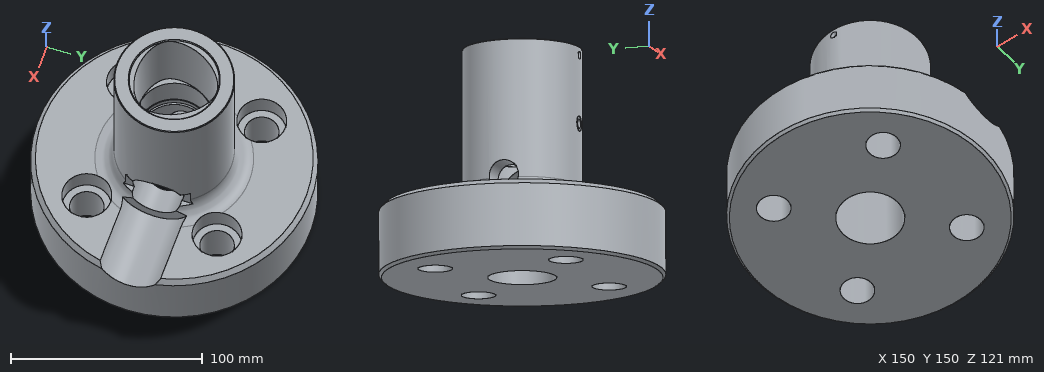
import cadquery as cq
import math

FLANGE_DIAMETER = 150.0
FLANGE_HEIGHT = 37.5
FLANGE_TOP_CHAMFER = 2.5
FLANGE_BOTTOM_CHAMFER = 1.5

TUBE_DIAMETER = 63.0
TOTAL_HEIGHT = 121.0
TUBE_CHAMFER = 0.5
ROOT_FILLET = 9.9

BOLT_HOLE_DIAMETER = 18.0
BOLT_HEAD_DIAMETER = 26.0
BOLT_HEAD_DEPTH = 12.0
BOLT_CIRCLE_DIAMETER = 101.5

MOUTH_DIAMETER = 47.0
MOUTH_DEPTH = 0.6
MOUTH_CHAMFER = 0.52
LOBE_HEIGHT = 1.42
LOBE_CURVE_POINTS = 36
SOCKET_TOP_RADIUS = 21.9
SOCKET_BOTTOM_RADIUS = 21.0
SOCKET_DEPTH = 38.0

UPPER_BORE_DIAMETER = 39.0
MIDDLE_BORE_DIAMETER = 38.1
MIDDLE_BORE_LENGTH = 3.0
THROUGH_BORE_DIAMETER = 36.0

CROSS_AXIS_Z = 48.6
CROSS_HOLE_DIAMETER = 16.0
CROSS_ACCESS_DIAMETER = 28.0
TROUGH_DIAMETER = 40.0
SLOT_HEIGHT = 10.0
SLOT_FLOOR_X = 26.0

SCREW_HOLE_DIAMETER = 5.0
SPOTFACE_DIAMETER = 8.0
SCREW_HOLE_Z = 80.0
DIMPLE_DIAMETER = 4.0
DIMPLE_Z = 116.4

FLANGE_RADIUS = FLANGE_DIAMETER / 2
TUBE_RADIUS = TUBE_DIAMETER / 2
SOCKET_TOP_Z = TOTAL_HEIGHT - MOUTH_DEPTH
SOCKET_BOTTOM_Z = SOCKET_TOP_Z - SOCKET_DEPTH
CUT_CLEARANCE = 1.5


def cylinder_z(diameter, bottom, top):
    return cq.Workplane("XY").workplane(offset=bottom).circle(diameter / 2).extrude(top - bottom)


def cylinder_x(diameter, start, end):
    """Cylinder along the cross axis, from x = start to x = end."""
    section = cq.Workplane("YZ").workplane(offset=start).center(0, CROSS_AXIS_Z)
    return section.circle(diameter / 2).extrude(end - start)


def cylinder_y(diameter, z, start, end):
    """Cylinder along Y at height z, from y = start to y = end."""
    section = cq.Workplane("XZ").workplane(offset=-end).center(0, z)
    return section.circle(diameter / 2).extrude(end - start)


def make_body():
    """Revolved flange and tube with the concave fillet between them."""
    fillet_mid = ROOT_FILLET * (1 - math.sqrt(0.5))
    outline = (
        cq.Workplane("XZ")
        .moveTo(0, 0)
        .lineTo(FLANGE_RADIUS - FLANGE_BOTTOM_CHAMFER, 0)
        .lineTo(FLANGE_RADIUS, FLANGE_BOTTOM_CHAMFER)
        .lineTo(FLANGE_RADIUS, FLANGE_HEIGHT - FLANGE_TOP_CHAMFER)
        .lineTo(FLANGE_RADIUS - FLANGE_TOP_CHAMFER, FLANGE_HEIGHT)
        .lineTo(TUBE_RADIUS + ROOT_FILLET, FLANGE_HEIGHT)
        .threePointArc(
            (TUBE_RADIUS + fillet_mid, FLANGE_HEIGHT + fillet_mid),
            (TUBE_RADIUS, FLANGE_HEIGHT + ROOT_FILLET),
        )
        .lineTo(TUBE_RADIUS, TOTAL_HEIGHT - TUBE_CHAMFER)
        .lineTo(TUBE_RADIUS - TUBE_CHAMFER, TOTAL_HEIGHT)
        .lineTo(0, TOTAL_HEIGHT)
        .close()
    )
    return outline.revolve(360, (0, 0, 0), (0, 1, 0))


def make_bolt_holes():
    offset = BOLT_CIRCLE_DIAMETER / 2 * math.sqrt(0.5)
    head_top = FLANGE_HEIGHT + ROOT_FILLET
    hole = cylinder_z(BOLT_HOLE_DIAMETER, -CUT_CLEARANCE, head_top)
    hole = hole.union(cylinder_z(BOLT_HEAD_DIAMETER, FLANGE_HEIGHT - BOLT_HEAD_DEPTH, head_top))
    holes = cq.Workplane("XY")
    for x in (-offset, offset):
        for y in (-offset, offset):
            holes = holes.union(hole.translate((x, y, 0)))
    return holes


def lobed_point(mean_radius, angle):
    """Point of a constant-width three-lobed curve whose tangent is square to the given angle."""
    reach = mean_radius - LOBE_HEIGHT * math.sin(3 * angle)
    slope = -3 * LOBE_HEIGHT * math.cos(3 * angle)
    x = reach * math.cos(angle) - slope * math.sin(angle)
    y = reach * math.sin(angle) + slope * math.cos(angle)
    return (x, y)


def lobed_wire(plane, mean_radius):
    step = 2 * math.pi / LOBE_CURVE_POINTS
    points = [lobed_point(mean_radius, i * step) for i in range(LOBE_CURVE_POINTS)]
    return plane.spline(points, periodic=True).close()


def make_socket():
    bottom = cq.Workplane("XY").workplane(offset=SOCKET_BOTTOM_Z)
    lower = lobed_wire(bottom, SOCKET_BOTTOM_RADIUS)
    upper = lobed_wire(lower.workplane(offset=SOCKET_DEPTH), SOCKET_TOP_RADIUS)
    socket = upper.loft(ruled=True)
    mouth = cylinder_z(MOUTH_DIAMETER, SOCKET_TOP_Z, TOTAL_HEIGHT)
    entry = (
        cq.Workplane("XY")
        .workplane(offset=TOTAL_HEIGHT)
        .circle(MOUTH_DIAMETER / 2 + MOUTH_CHAMFER)
        .extrude(-MOUTH_CHAMFER, taper=45)
    )
    return socket.union(mouth).union(entry)


def make_bore():
    middle_bottom = CROSS_AXIS_Z + CROSS_ACCESS_DIAMETER / 2
    middle_top = middle_bottom + MIDDLE_BORE_LENGTH
    bore = cylinder_z(THROUGH_BORE_DIAMETER, -CUT_CLEARANCE, middle_bottom)
    bore = bore.union(cylinder_z(MIDDLE_BORE_DIAMETER, middle_bottom, middle_top))
    return bore.union(cylinder_z(UPPER_BORE_DIAMETER, middle_top, SOCKET_BOTTOM_Z))


def make_cross_cuts():
    """Cross hole, wide access hole toward +X, trough across the flange and flat-bottomed slot."""
    outer_x = FLANGE_RADIUS + CUT_CLEARANCE
    slot = cq.Workplane("XY").box(
        outer_x - SLOT_FLOOR_X, TUBE_DIAMETER + 2 * ROOT_FILLET, SLOT_HEIGHT, centered=(False, True, True)
    )
    cuts = cylinder_x(CROSS_HOLE_DIAMETER, -outer_x, 0)
    cuts = cuts.union(cylinder_x(CROSS_ACCESS_DIAMETER, 0, outer_x))
    cuts = cuts.union(cylinder_x(TROUGH_DIAMETER, TUBE_RADIUS, outer_x))
    return cuts.union(slot.translate((SLOT_FLOOR_X, 0, CROSS_AXIS_Z)))


def make_screw_hole():
    """Radial hole into the bore with a spotface just deep enough to be a full circle."""
    spotface_y = -math.sqrt(TUBE_RADIUS**2 - (SPOTFACE_DIAMETER / 2) ** 2)
    outer_y = -TUBE_RADIUS - CUT_CLEARANCE
    hole = cylinder_y(SCREW_HOLE_DIAMETER, SCREW_HOLE_Z, outer_y, 0)
    return hole.union(cylinder_y(SPOTFACE_DIAMETER, SCREW_HOLE_Z, outer_y, spotface_y))


def make_dimple():
    """Right-angled conical dimple pointing to the tube axis."""
    radius = DIMPLE_DIAMETER / 2
    cone = cq.Solid.makeCone(radius, 0, radius, cq.Vector(0, -TUBE_RADIUS, DIMPLE_Z), cq.Vector(0, 1, 0))
    return cq.Workplane("XY").add(cone)


result = make_body()
for cut in (
    make_bolt_holes(),
    make_bore(),
    make_socket(),
    make_cross_cuts(),
    make_screw_hole(),
    make_dimple(),
):
    result = result.cut(cut)